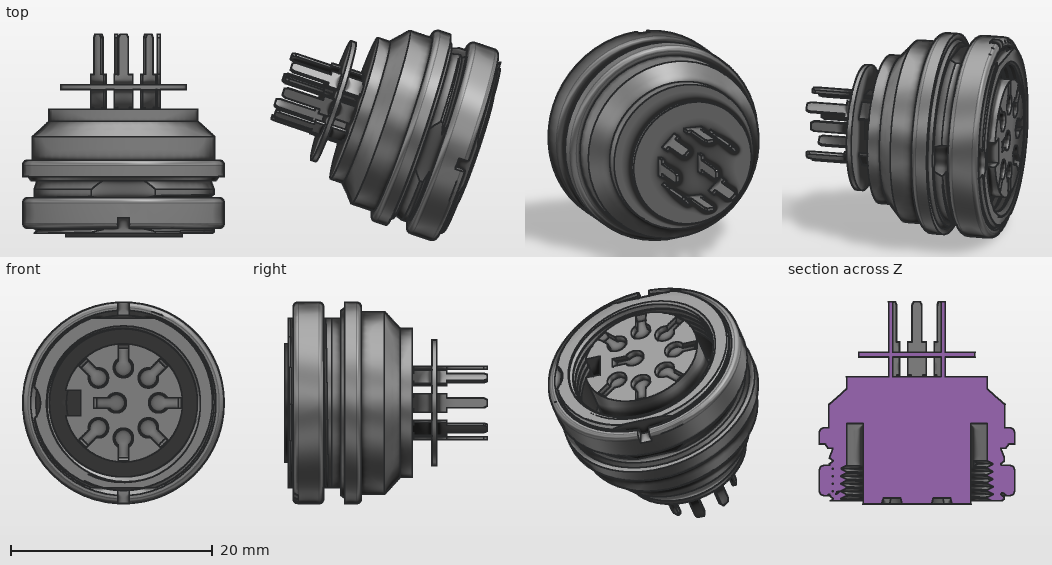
import cadquery as cq
import math


insert_radius = 11.75 / 2
key_floor_x = -4.23
key_width = 2.54

contact_circle_radius = 3.5
contact_angles = [angle for angle in range(0, 360, 45) if angle != 180]
inner_contact_x = -0.7
socket_mouth_radius = 1.0
socket_floor_radius = 0.85
socket_depth = 0.6
socket_slot_width = 1.05
socket_slot_reach = 2.25
socket_slot_floor_reach = 1.93

pin_thickness = 0.32
pin_half_width = 0.5
pin_shoulder_half_width = 0.93
pin_neck_half_width = 0.6
pin_tip_half_width = 0.33
pin_neck_length = 0.13
pin_tip_length = 0.35
pin_shoulder_end_y = 16.1
pin_end_y = 20.1

washer_radius = 12.5 / 2
washer_start_y = 14.6
washer_thickness = 0.5

shell_front_y = 0.34
thread_radius = 18.0 / 2
thread_end_y = 4.69
relief_radius = 8.67
gasket_y = 5.55
gasket_front_radius = 18.3 / 2
gasket_rear_radius = 18.9 / 2
flange_front_y = 5.95
flange_rear_y = 7.6
flange_radius = 20.0 / 2
body_radius = 18.15 / 2
cone_start_y = 9.9
cone_end_y = 11.44
rear_radius = 14.8 / 2
shell_rear_y = 12.67
edge_fillet = 0.5
flat_distance = 8.42
notch_radius = 2.3
notch_bottom_x = -8.22

bore_radius = 14.7 / 2
bore_mouth_radius = 15.3 / 2
bore_mouth_depth = 0.2
bore_floor_y = 8.0
seat_radius = 5.66
seat_depth = 0.5
bore_thread_root_radius = 7.9
bore_thread_turns = 6
bore_thread_start_angle = 40

outer_thread_root_radius = 8.65
outer_thread_turns = 6 + 140 / 360
outer_thread_start_angle = 40

thread_pitch = 0.75
thread_start_y = -0.47
thread_flank_gap = 0.02
thread_overcut = 0.1

nut_front_y = 0.83
nut_rear_y = 3.87
nut_bore_radius = 8.7
nut_mouth_radius = 9.2
nut_mouth_depth = 0.4
nut_slot_width = 1.16
nut_slot_depth = 1.04


def revolve_profile(points):
    """Revolve a closed (radius, y) outline about the Y axis."""
    return cq.Workplane("XY").polyline(points).close().revolve(360, (0, 0, 0), (0, 1, 0))


def cylinder(radius, start_y, end_y):
    """Solid cylinder on the Y axis."""
    return revolve_profile([(0, start_y), (radius, start_y), (radius, end_y), (0, end_y)])


def thread_groove(surface_radius, root_radius, turns, start_angle):
    """Right-handed V groove that starts start_angle degrees from +X toward -Z and advances toward +Y."""
    outward = math.copysign(1, surface_radius - root_radius)
    open_radius = surface_radius + outward * thread_overcut
    half_width = thread_pitch / 2 - thread_flank_gap
    helix = cq.Wire.makeHelix(thread_pitch, thread_pitch * turns, surface_radius)
    groove = (
        cq.Workplane("XZ")
        .polyline([(open_radius, -half_width), (root_radius, 0), (open_radius, half_width)])
        .close()
        .sweep(cq.Workplane(helix), isFrenet=True)
    )
    groove = groove.rotate((0, 0, 0), (1, 0, 0), -90)
    return groove.rotate((0, 0, 0), (0, 1, 0), start_angle).translate((0, thread_start_y, 0))


def make_threaded_sleeve():
    """Front sleeve with an undercut at its rear, two flats and a locating notch."""
    sleeve = revolve_profile([
        (0, shell_front_y),
        (thread_radius, shell_front_y),
        (thread_radius, thread_end_y),
        (relief_radius, gasket_y),
        (0, gasket_y),
    ])
    sleeve = sleeve.cut(thread_groove(
        thread_radius, outer_thread_root_radius, outer_thread_turns, outer_thread_start_angle))
    middle_y = (shell_front_y + gasket_y) / 2
    sleeve = sleeve.intersect(
        cq.Workplane("XY").box(2 * thread_radius, gasket_y, 2 * flat_distance)
        .translate((0, middle_y, 0)))
    notch = cylinder(notch_radius, shell_front_y, gasket_y)
    return sleeve.cut(notch.translate((notch_bottom_x - notch_radius, 0, 0)))


def make_shell():
    """Shell with gasket, flange, tapered rear body and threaded bore."""
    gasket = revolve_profile([
        (0, gasket_y),
        (gasket_front_radius, gasket_y),
        (gasket_rear_radius, flange_front_y),
        (0, flange_front_y),
    ])
    flange = cylinder(flange_radius, flange_front_y, flange_rear_y).edges(">Y").fillet(edge_fillet)
    body = revolve_profile([
        (0, flange_rear_y),
        (body_radius, flange_rear_y),
        (body_radius, cone_start_y),
        (rear_radius, cone_end_y),
        (rear_radius, shell_rear_y),
        (0, shell_rear_y),
    ])
    shell = make_threaded_sleeve().union(gasket).union(flange).union(body)
    shell = shell.cut(cylinder(bore_radius, shell_front_y, bore_floor_y))
    shell = shell.cut(cylinder(seat_radius, bore_floor_y, bore_floor_y + seat_depth))
    shell = shell.cut(revolve_profile([
        (0, shell_front_y),
        (bore_mouth_radius, shell_front_y),
        (bore_radius, shell_front_y + bore_mouth_depth),
        (0, shell_front_y + bore_mouth_depth),
    ]))
    return shell.cut(thread_groove(
        bore_radius, bore_thread_root_radius, bore_thread_turns, bore_thread_start_angle))


def make_nut():
    """Ring nut with rounded rims and two wrench slots across its front."""
    nut = cylinder(flange_radius, nut_front_y, nut_rear_y).edges().fillet(edge_fillet)
    nut = nut.cut(cylinder(nut_bore_radius, nut_front_y, nut_rear_y))
    nut = nut.cut(revolve_profile([
        (0, nut_front_y),
        (nut_mouth_radius, nut_front_y),
        (nut_bore_radius, nut_front_y + nut_mouth_depth),
        (0, nut_front_y + nut_mouth_depth),
    ]))
    slot = cq.Workplane("XY").box(nut_slot_width, 2 * nut_slot_depth, 2 * flange_radius)
    return nut.cut(slot.translate((0, nut_front_y, 0)))


def make_socket():
    """Tapered recess at the origin with a slot toward +X that ends in a slope."""
    hole = revolve_profile([
        (0, 0),
        (socket_mouth_radius, 0),
        (socket_floor_radius, socket_depth),
        (0, socket_depth),
    ])
    slot = (
        cq.Workplane("XY")
        .polyline([
            (0, 0),
            (socket_slot_reach, 0),
            (socket_slot_floor_reach, socket_depth),
            (0, socket_depth),
        ])
        .close()
        .extrude(socket_slot_width / 2, both=True)
    )
    return hole.union(slot)


def make_pin():
    """Flat solder pin at the origin, its broad faces toward +X and -X."""
    neck_end_y = shell_rear_y + pin_neck_length
    side = [
        (bore_floor_y + seat_depth, pin_neck_half_width),
        (neck_end_y, pin_neck_half_width),
        (neck_end_y, pin_shoulder_half_width),
        (pin_shoulder_end_y, pin_shoulder_half_width),
        (pin_shoulder_end_y, pin_half_width),
        (pin_end_y - pin_tip_length, pin_half_width),
        (pin_end_y, pin_tip_half_width),
    ]
    opposite_side = [(y, -z) for y, z in reversed(side)]
    outline = cq.Workplane("YZ").polyline(side + opposite_side).close()
    return outline.extrude(pin_thickness / 2, both=True)


def at_contacts(shape):
    """Copies of a contact feature around the circle, plus the reversed inner one."""
    on_circle = shape.translate((contact_circle_radius, 0, 0))
    copies = [on_circle.rotate((0, 0, 0), (0, 1, 0), angle) for angle in contact_angles]
    inner = shape.rotate((0, 0, 0), (0, 1, 0), 180).translate((inner_contact_x, 0, 0))
    return copies + [inner]


def make_insert():
    """Contact carrier with its keyway on the -X side and the contact sockets."""
    rear_y = bore_floor_y + seat_depth
    insert = cylinder(insert_radius, 0, bore_floor_y).union(cylinder(seat_radius, bore_floor_y, rear_y))
    keyway = cq.Workplane("XY").box(
        insert_radius, rear_y, key_width, centered=(False, False, True))
    insert = insert.cut(keyway.translate((key_floor_x - insert_radius, 0, 0)))
    for socket in at_contacts(make_socket()):
        insert = insert.cut(socket)
    return insert


result = make_shell().union(make_nut()).union(make_insert())
for pin in at_contacts(make_pin()):
    result = result.union(pin)
result = result.union(cylinder(washer_radius, washer_start_y, washer_start_y + washer_thickness))